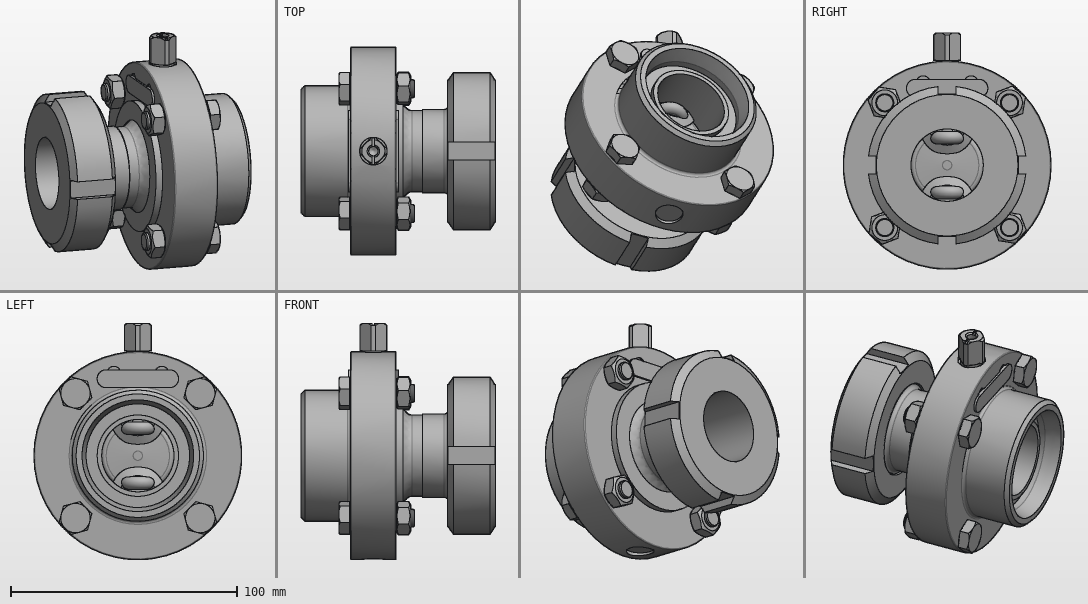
import cadquery as cq
import math


BODY_R = 46.0
BODY_HALF = 10.0
BODY_EDGE = 0.4

INLET_X = -32.0
INLET_R = 29.0
INLET_CHAMFER_X = 1.7
INLET_FACE_R = 27.3
INLET_FILLET = 1.4
BORE_R = 16.0
LINER_R = 18.0
SEAT_R = 45.8 / 2
SEAT_MOUTH_R = 49.4 / 2
SEAT_TAPER_DEPTH = 7.1
SEAT_DEPTH = 10.2
LINER_HEIGHT = 3.0

COLLAR_R = 29.0
COLLAR_X = 13.1
COLLAR_FACE_R = 20.6
NECK_R = 18.0
NECK_START_X = 17.1
LINER_JOINT_X = 21.7
LINER_NECK_R = 37.0 / 2
FLARE_X = 31.3
FLARE_R = 41.0 / 2
NUT_START_X = 32.75
NUT_END_X = 54.0
NUT_R = 35.0
NUT_FACE_R = 31.3
NUT_BACK_CHAMFER = 2.65
NUT_FRONT_CHAMFER = 2.35
NUT_HOLE_R = 42.0 / 2
NUT_GAP_END_X = 35.0
NUT_SLOT_WIDTH = 8.0
NUT_SLOT_R = 31.5
NUT_SLOT_COUNT = 4

BOLT_COUNT = 4
BOLT_CIRCLE_R = 39.0
HEX_FLATS = 13.0
HEX_R = HEX_FLATS / math.sqrt(3)
BOLT_R = 4.0
BOLT_TIP_R = 7.2 / 2
BOLT_END_X = 18.2
BOLT_TIP_CHAMFER = 0.6
WASHER_FACE_R = 11.4 / 2
WASHER_FACE_HEIGHT = 0.5
HEAD_END_X = -15.3
BOLT_NUT_END_X = 16.6
BOLT_NUT_FACE_R = WASHER_FACE_R
BOLT_NUT_TURN = 6.0
HEX_CHAMFER_ANGLE = 30.0

PLATE_LENGTH = 36.0
PLATE_WIDTH = 7.9
PLATE_THICKNESS = 1.0
PLATE_Z = 34.0
PLATE_HOLE_R = 3.1
PLATE_HOLE_Y = 10.6
PLATE_HOLE_Z = 36.4
PLATE_HOLE_DEPTH = 0.5

STEM_TOP_Z = 58.5
STEM_SQUARE_Z = 46.3
STEM_FLATS = 9.8
STEM_CORNER_R = 6.0
STEM_CHAMFER = 0.9
STEM_NECK_R = 5.0
STEM_HOLE_R = 12.2 / 2
STEM_HOLE_DEPTH = 1.5
STEM_THREAD_R = 4.13 / 2
STEM_THREAD_DEPTH = 8.0
STEM_DRILL_TIP_ANGLE = 30.0
STEM_SINK_R = 5.5 / 2
STEM_SLOT_WIDTH = 1.2
STEM_SLOT_DEPTH = 0.8

DISC_FLAT_R = 4.13 / 2
DISC_FLAT_X = 2.8
DISC_FACE_R = 14.0
DISC_FACE_X = 2.0
DISC_RIM_X = 1.0
DISC_RIM_ROUND = 2.0
HUB_R = 8.3
HUB_INNER_Z = 9.3
HUB_OUTER_Z = 15.0
HUB_ROUND = (HUB_OUTER_Z - HUB_INNER_Z) / 2
FAIRING_Z = 16.6
FAIRING_BASE_R = 12.0
FAIRING_TOP_R = 7.8
FAIRING_TOP_X = 4.4
FAIRING_BASE_X = 2.4


def revolve_about_x(profile):
    """Revolve an open profile drawn on the XY plane about X."""
    return profile.close().revolve(360, (0, 0), (1, 0))


def revolve_about_z(profile):
    """Revolve an open profile drawn on the XZ plane about Z."""
    return profile.close().revolve(360, (0, 0), (0, 1))


def cylinder_x(radius, start_x, end_x, y=0.0, z=0.0):
    return cq.Workplane("YZ", origin=(start_x, y, z)).circle(radius).extrude(end_x - start_x)


def cylinder_z(radius, start_z, end_z):
    return cq.Workplane("XY", origin=(0, 0, start_z)).circle(radius).extrude(end_z - start_z)


def make_body():
    return cylinder_x(BODY_R, -BODY_HALF, BODY_HALF).edges().fillet(BODY_EDGE)


def make_inlet():
    fillet_start_x = -BODY_HALF - INLET_FILLET
    profile = (
        cq.Workplane("XY")
        .moveTo(INLET_X, 0)
        .lineTo(INLET_X, INLET_FACE_R)
        .lineTo(INLET_X + INLET_CHAMFER_X, INLET_R)
        .lineTo(fillet_start_x, INLET_R)
        .radiusArc((-BODY_HALF, INLET_R + INLET_FILLET), -INLET_FILLET)
        .lineTo(0, INLET_R + INLET_FILLET)
        .lineTo(0, 0)
    )
    return revolve_about_x(profile)


def make_inlet_seat():
    floor_x = INLET_X + SEAT_DEPTH
    liner_x = floor_x - LINER_HEIGHT
    profile = (
        cq.Workplane("XY")
        .moveTo(INLET_X, 0)
        .lineTo(INLET_X, SEAT_MOUTH_R)
        .lineTo(INLET_X + SEAT_TAPER_DEPTH, SEAT_R)
        .lineTo(floor_x, SEAT_R)
        .lineTo(floor_x, LINER_R)
        .lineTo(liner_x, LINER_R)
        .lineTo(liner_x, 0)
    )
    return revolve_about_x(profile)


def make_outlet():
    flare_end_x = FLARE_X + FLARE_R - LINER_NECK_R
    profile = (
        cq.Workplane("XY")
        .moveTo(0, 0)
        .lineTo(0, COLLAR_R)
        .lineTo(COLLAR_X, COLLAR_R)
        .lineTo(COLLAR_X, COLLAR_FACE_R)
        .spline([(NECK_START_X, NECK_R)], tangents=[(1, -1), (1, 0)], includeCurrent=True)
        .lineTo(LINER_JOINT_X, NECK_R)
        .lineTo(LINER_JOINT_X, LINER_NECK_R)
        .lineTo(FLARE_X, LINER_NECK_R)
        .radiusArc((flare_end_x, FLARE_R), LINER_NECK_R - FLARE_R)
        .lineTo(NUT_GAP_END_X, FLARE_R)
        .lineTo(NUT_GAP_END_X, 0)
    )
    return revolve_about_x(profile)


def make_union_nut():
    profile = (
        cq.Workplane("XY")
        .moveTo(NUT_START_X, 0)
        .lineTo(NUT_START_X, NUT_FACE_R)
        .lineTo(NUT_START_X + NUT_BACK_CHAMFER, NUT_R)
        .lineTo(NUT_END_X - NUT_FRONT_CHAMFER, NUT_R)
        .lineTo(NUT_END_X, NUT_FACE_R)
        .lineTo(NUT_END_X, 0)
    )
    nut = revolve_about_x(profile)
    nut = nut.cut(cylinder_x(NUT_HOLE_R, NUT_START_X, NUT_GAP_END_X))
    slot_height = NUT_R - NUT_SLOT_R
    slot = cq.Workplane("XY").box(NUT_END_X - NUT_START_X, NUT_SLOT_WIDTH, slot_height)
    slot = slot.translate(((NUT_START_X + NUT_END_X) / 2, 0, NUT_SLOT_R + slot_height / 2))
    for i in range(NUT_SLOT_COUNT):
        nut = nut.cut(slot.rotate((0, 0, 0), (1, 0, 0), i * 360 / NUT_SLOT_COUNT))
    return nut


def make_hex(start_x, end_x):
    """Hexagonal prism along X with a vertex on Y."""
    return cq.Workplane("YZ", origin=(start_x, 0, 0)).polygon(6, 2 * HEX_R).extrude(end_x - start_x)


def turn_corners(prism, face_x, face_r, inward):
    """Turn the prism corners to a cone that meets the end face in a circle; inward is +1 or -1."""
    rise = HEX_FLATS
    cone_end_x = face_x + inward * rise * math.tan(math.radians(HEX_CHAMFER_ANGLE))
    cone = (
        cq.Workplane("XY")
        .moveTo(face_x, 0)
        .lineTo(face_x, face_r)
        .lineTo(cone_end_x, face_r + rise)
        .lineTo(cone_end_x, 0)
    )
    return prism.intersect(revolve_about_x(cone))


def make_bolt():
    """Bolt with its nut, its axis on X and a head vertex on Y."""
    seat_x = BODY_HALF + WASHER_FACE_HEIGHT
    flat_r = HEX_FLATS / 2
    head = turn_corners(make_hex(HEAD_END_X, -seat_x), HEAD_END_X, flat_r, 1)
    nut = turn_corners(make_hex(seat_x, BOLT_NUT_END_X), seat_x, flat_r, 1)
    nut = turn_corners(nut, BOLT_NUT_END_X, BOLT_NUT_FACE_R, -1)
    nut = nut.rotate((0, 0, 0), (1, 0, 0), BOLT_NUT_TURN)
    washer_faces = cylinder_x(WASHER_FACE_R, -seat_x, seat_x)
    shank = cylinder_x(BOLT_R, -BODY_HALF, BOLT_END_X)
    shank = shank.faces(">X").chamfer(BOLT_TIP_CHAMFER, BOLT_R - BOLT_TIP_R)
    return head.union(washer_faces).union(nut).union(shank)


def make_bolts():
    bolt = make_bolt().translate((0, 0, BOLT_CIRCLE_R))
    bolts = cq.Workplane("XY")
    for i in range(BOLT_COUNT):
        angle = (i + 0.5) * 360 / BOLT_COUNT
        bolts = bolts.add(bolt.rotate((0, 0, 0), (1, 0, 0), angle))
    return bolts.combine()


def make_plates():
    half = BODY_HALF + PLATE_THICKNESS
    return (
        cq.Workplane("YZ", origin=(-half, 0, PLATE_Z))
        .slot2D(PLATE_LENGTH, PLATE_WIDTH)
        .extrude(2 * half)
    )


def make_plate_holes():
    holes = cq.Workplane("XY")
    for face_x in (-BODY_HALF, BODY_HALF - PLATE_HOLE_DEPTH):
        for y in (-PLATE_HOLE_Y, PLATE_HOLE_Y):
            holes = holes.add(
                cylinder_x(PLATE_HOLE_R, face_x, face_x + PLATE_HOLE_DEPTH, y, PLATE_HOLE_Z)
            )
    return holes.combine()


def make_stem():
    height = STEM_TOP_Z - STEM_SQUARE_Z
    square = (
        cq.Workplane("XY", origin=(0, 0, STEM_SQUARE_Z))
        .rect(STEM_FLATS, STEM_FLATS)
        .extrude(height)
        .rotate((0, 0, 0), (0, 0, 1), 45)
    )
    turned = cylinder_z(STEM_CORNER_R, STEM_SQUARE_Z, STEM_TOP_Z).faces(">Z").chamfer(STEM_CHAMFER)
    neck = cylinder_z(STEM_NECK_R, HUB_INNER_Z, STEM_SQUARE_Z)
    sink_depth = STEM_SINK_R - STEM_THREAD_R
    tip_depth = STEM_THREAD_R * math.tan(math.radians(STEM_DRILL_TIP_ANGLE))
    hole_profile = (
        cq.Workplane("XZ")
        .moveTo(0, STEM_TOP_Z)
        .lineTo(STEM_SINK_R, STEM_TOP_Z)
        .lineTo(STEM_THREAD_R, STEM_TOP_Z - sink_depth)
        .lineTo(STEM_THREAD_R, STEM_TOP_Z - STEM_THREAD_DEPTH)
        .lineTo(0, STEM_TOP_Z - STEM_THREAD_DEPTH - tip_depth)
    )
    hole = revolve_about_z(hole_profile)
    slot = cq.Workplane("XY").box(STEM_SLOT_WIDTH, 2 * STEM_CORNER_R, STEM_SLOT_DEPTH)
    slot = slot.translate((0, 0, STEM_TOP_Z - STEM_SLOT_DEPTH / 2))
    return square.intersect(turned).union(neck).cut(hole).cut(slot)


def make_hub():
    """Short barrel about Z whose side is a half-round bulge."""
    core_r = HUB_R - HUB_ROUND
    profile = (
        cq.Workplane("XZ")
        .moveTo(0, HUB_INNER_Z)
        .lineTo(core_r, HUB_INNER_Z)
        .threePointArc((HUB_R, HUB_INNER_Z + HUB_ROUND), (core_r, HUB_OUTER_Z))
        .lineTo(0, HUB_OUTER_Z)
    )
    return revolve_about_z(profile)


def make_fairing():
    """Flat cones on both disc faces that lead up to a hub."""
    profile = (
        cq.Workplane("XY")
        .moveTo(0, 0)
        .lineTo(0, FAIRING_BASE_R)
        .lineTo(FAIRING_BASE_X, FAIRING_BASE_R)
        .lineTo(FAIRING_TOP_X, FAIRING_TOP_R)
        .lineTo(FAIRING_TOP_X, 0)
    )
    half = revolve_about_x(profile).translate((0, 0, FAIRING_Z))
    return half.union(half.mirror("YZ"))


def make_disc():
    """Closed disc with a rounded rim, and a rounded hub at each end of the pivot axis."""
    profile = (
        cq.Workplane("XY")
        .moveTo(-DISC_FLAT_X, 0)
        .lineTo(-DISC_FLAT_X, DISC_FLAT_R)
        .lineTo(-DISC_FACE_X, DISC_FACE_R)
        .radiusArc((-DISC_RIM_X, BORE_R), DISC_RIM_ROUND)
        .lineTo(0, BORE_R)
        .lineTo(0, 0)
    )
    half = revolve_about_x(profile)
    disc = half.union(half.mirror("YZ"))
    hub = make_hub().union(make_fairing())
    disc = disc.union(hub).union(hub.mirror("XY"))
    return disc.intersect(cylinder_x(BORE_R, -BODY_HALF, BODY_HALF))


def make_stem_holes():
    top = cylinder_z(STEM_HOLE_R, BODY_R - STEM_HOLE_DEPTH, BODY_R)
    return top.union(top.mirror("XY"))


housing = make_body().union(make_inlet()).union(make_outlet()).union(make_union_nut())
housing = housing.cut(make_plate_holes()).union(make_plates()).union(make_bolts())
housing = housing.cut(make_inlet_seat()).cut(make_stem_holes())
housing = housing.cut(cylinder_x(BORE_R, INLET_X, NUT_END_X))

result = housing.union(make_disc()).union(make_stem())